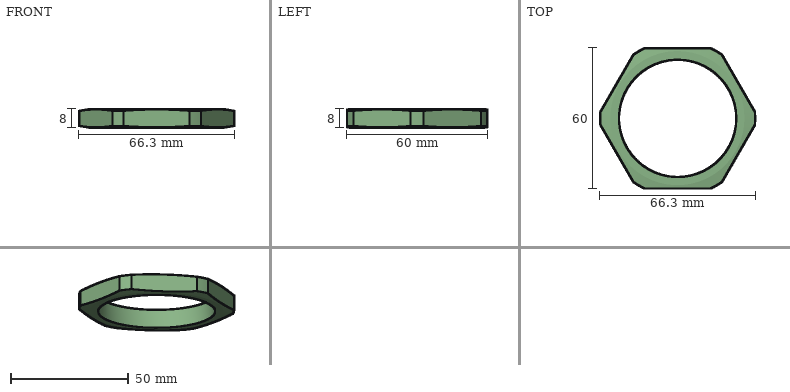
import cadquery as cq

across_flats = 60.0
corner_diameter = 66.3
thickness = 8.0
bore_diameter = 50.0
face_diameter = 57.25
chamfer_height = 0.8
flat_turn = 30

corner_radius = corner_diameter / 2
face_radius = face_diameter / 2
bore_radius = bore_diameter / 2
half_thickness = thickness / 2
rim_half_height = half_thickness - chamfer_height


def hexagonal_prism():
    """Hexagon with two flats facing +Y and -Y, centred on the origin."""
    return (
        cq.Workplane("XY")
        .transformed(rotate=(0, 0, flat_turn))
        .polygon(6, across_flats, circumscribed=True)
        .extrude(half_thickness, both=True)
    )


def turned_ring():
    """Ring with the bore, the round corners and a conical chamfer on each face."""
    profile = [
        (bore_radius, -half_thickness),
        (face_radius, -half_thickness),
        (corner_radius, -rim_half_height),
        (corner_radius, rim_half_height),
        (face_radius, half_thickness),
        (bore_radius, half_thickness),
    ]
    return cq.Workplane("XZ").polyline(profile).close().revolve(360, (0, 0), (0, 1))


result = hexagonal_prism().intersect(turned_ring())